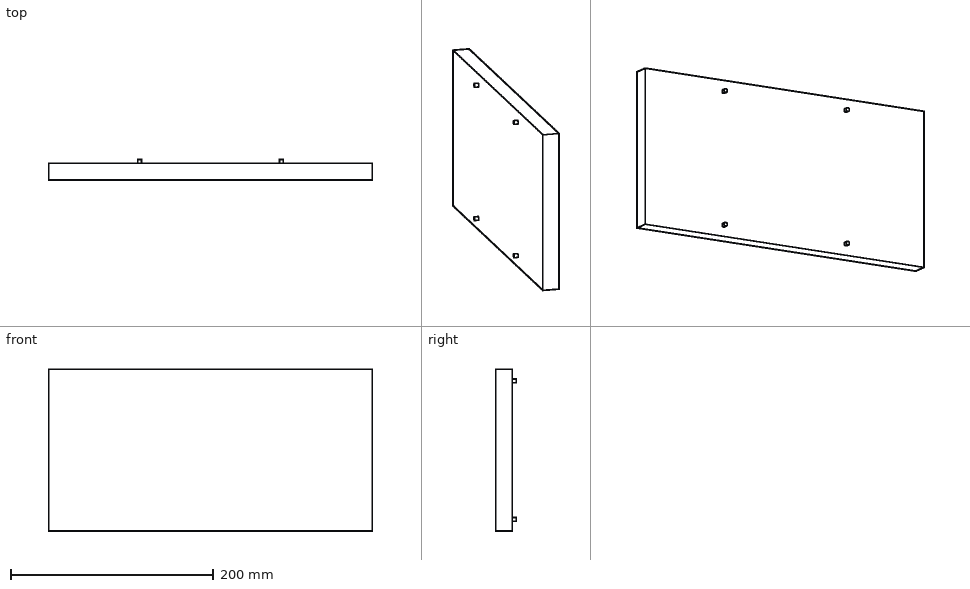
import cadquery as cq

panel_length = 320.0
panel_height = 160.0
overall_depth = 20.5
pin_length = 4.0
panel_thickness = overall_depth - pin_length

pin_diameter = 4.0
pin_spacing_x = 140.0
pin_spacing_z = 137.0


def make_panel():
    """Plain panel with its back face on the plane Y = 0."""
    return cq.Workplane("XY").box(
        panel_length, panel_thickness, panel_height, centered=(True, False, True)
    ).translate((0, -panel_thickness, 0))


def make_pins():
    """Round pins standing out of the back face toward +Y, started inside the panel."""
    root_depth = panel_thickness / 2
    return (
        cq.Workplane("XZ", origin=(0, -root_depth, 0))
        .rarray(pin_spacing_x, pin_spacing_z, 2, 2)
        .circle(pin_diameter / 2)
        .extrude(-(root_depth + pin_length))
    )


result = make_panel().union(make_pins())